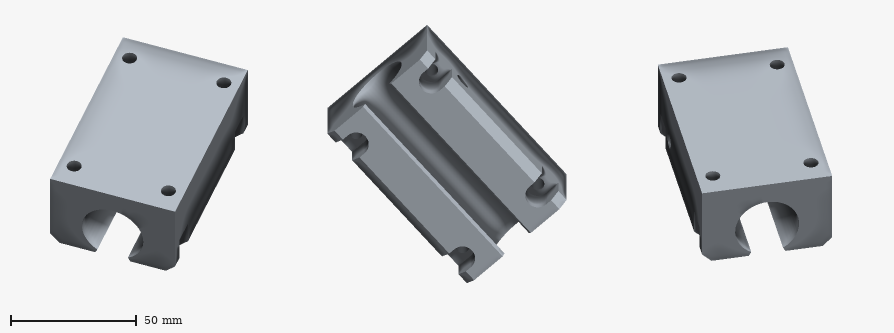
import cadquery as cq
import math

width = 53.0
length = 84.0
height = 35.0
edge_chamfer = 3.9

bore_diameter = 26.0
bore_height = 13.1
throat_width = 12.9
mouth_width = 14.95

hole_spacing_x = 40.0
hole_spacing_y = 64.0
thread_diameter = 6.0
core_diameter = 5.2
thread_depth = 10.1
slot_width = 10.0
slot_height = 14.0

port_y = 20.5
port_height = bore_height
port_diameter = 6.5
port_depth = 3.0
port_core_diameter = 4.0


def make_block():
    block = cq.Workplane("XY").box(width, length, height, centered=(True, True, False))
    return block.faces("<Z").edges("|Y").chamfer(edge_chamfer)


def make_bore():
    radius = bore_diameter / 2
    half_throat = throat_width / 2
    half_mouth = mouth_width / 2
    lip_height = bore_height - math.sqrt(radius**2 - half_throat**2)
    return (
        cq.Workplane("XZ")
        .moveTo(-half_mouth, 0)
        .lineTo(-half_throat, lip_height)
        .threePointArc((0, bore_height + radius), (half_throat, lip_height))
        .lineTo(half_mouth, 0)
        .close()
        .extrude(length / 2, both=True)
    )


def make_mounting_cut(side, y):
    """Stepped hole and round-ended slot; side is -1 or 1 along X."""
    x = side * hole_spacing_x / 2
    core = cq.Workplane("XY").center(x, y).circle(core_diameter / 2).extrude(height)
    thread = (
        cq.Workplane("XY", origin=(x, y, height))
        .circle(thread_diameter / 2)
        .extrude(-thread_depth)
    )
    slot_end = cq.Workplane("XY").center(x, y).circle(slot_width / 2).extrude(slot_height)
    slot_run = width / 2 - abs(x)
    slot = (
        cq.Workplane("XY")
        .center(x + side * slot_run / 2, y)
        .rect(slot_run, slot_width)
        .extrude(slot_height)
    )
    return core.union(thread).union(slot_end).union(slot)


def make_grease_port():
    start = cq.Workplane("YZ", origin=(-width / 2, port_y, port_height))
    core = start.circle(port_core_diameter / 2).extrude(width / 2)
    return core.union(start.circle(port_diameter / 2).extrude(port_depth))


result = make_block().cut(make_bore()).cut(make_grease_port())
for side in (-1, 1):
    for y in (-hole_spacing_y / 2, hole_spacing_y / 2):
        result = result.cut(make_mounting_cut(side, y))